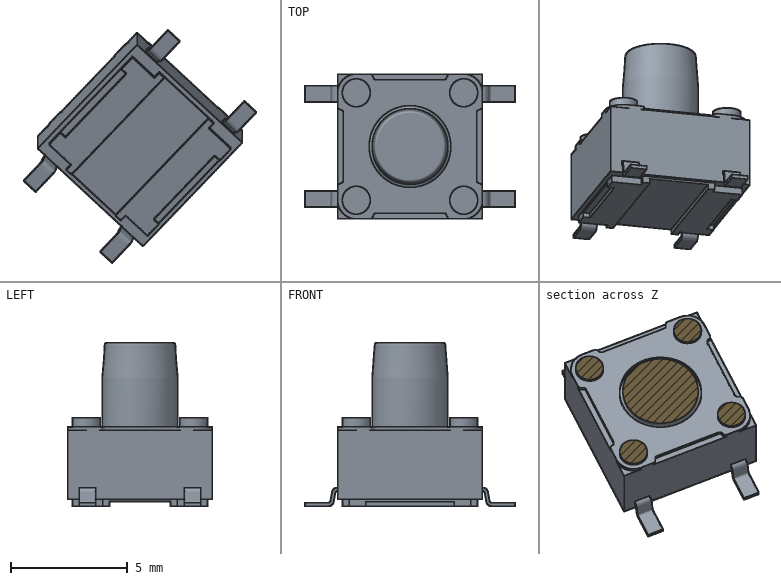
import cadquery as cq
import math


housing_width = 6.2
housing_bottom = 0.3
housing_top = 3.25
plate_top = 3.4
plate_corner_radius = 0.8
button_hole_diameter = 3.5
edge_recess_depth = 0.25
edge_recess_floor_half = 1.43
edge_recess_ramp = 0.3

rivet_diameter = 1.2
rivet_offset = housing_width / 2 - plate_corner_radius
rivet_top = 3.8

button_diameter = 3.25
button_tip_diameter = 3.02
button_shoulder = 5.5
button_top = 7.0
button_edge_round = 0.09
button_base_fillet = 0.1

pad_width = 5.8
pad_step = 0.3
pad_tab_outer = 1.6
pad_channel_half = 1.3
pad_recess_half = 1.9
pad_relief_height = 0.2

lead_span = 9
lead_width = 0.7
lead_thickness = 0.15
lead_offset_y = 2.25
lead_top = 0.8
lead_flat_end = 3.49
lead_inner_bend = 0.08
lead_bend_radius = lead_inner_bend + lead_thickness / 2
lead_slope_angle = math.radians(80)
lead_embed = 0.27


def block(x_size, y_size, z_low, z_high):
    """Box centred on the Z axis between two heights."""
    return cq.Workplane("XY").workplane(offset=z_low).rect(x_size, y_size).extrude(z_high - z_low)


def make_plate():
    """Cover plate with rounded corners, a shallow recess in each side and the button hole."""
    plate = block(housing_width, housing_width, housing_top, plate_top)
    plate = plate.edges("|Z").fillet(plate_corner_radius)

    edge = housing_width / 2
    floor = edge - edge_recess_depth
    half_recess = (
        cq.Workplane("XY").workplane(offset=housing_top)
        .moveTo(0, floor)
        .lineTo(edge_recess_floor_half, floor)
        .tangentArcPoint((edge_recess_ramp / 2, edge_recess_depth / 2))
        .tangentArcPoint((edge_recess_ramp / 2, edge_recess_depth / 2))
        .lineTo(0, edge)
        .close()
        .extrude(plate_top - housing_top)
    )
    recess = half_recess.union(half_recess.mirror("YZ"))
    for quarter_turn in range(4):
        plate = plate.cut(recess.rotate((0, 0, 0), (0, 0, 1), 90 * quarter_turn))

    return plate.faces(">Z").workplane(origin=(0, 0, plate_top)).hole(button_hole_diameter)


def make_rivets():
    """Round rivet heads concentric with the plate corners."""
    return (
        cq.Workplane("XY").workplane(offset=housing_top)
        .rect(2 * rivet_offset, 2 * rivet_offset, forConstruction=True)
        .vertices()
        .circle(rivet_diameter / 2)
        .extrude(rivet_top - housing_top)
    )


def make_button():
    """Cylindrical button with a concave base fillet, a tapered tip and a rounded top edge."""
    radius = button_diameter / 2
    button = (
        cq.Workplane("XZ")
        .moveTo(0, housing_top)
        .lineTo(radius + button_base_fillet, housing_top)
        .radiusArc((radius, housing_top + button_base_fillet), button_base_fillet)
        .lineTo(radius, button_shoulder)
        .lineTo(button_tip_diameter / 2, button_top)
        .lineTo(0, button_top)
        .close()
        .revolve(360, (0, 0, 0), (0, 1, 0))
    )
    return button.faces(">Z").edges().fillet(button_edge_round)


def make_pad():
    """Base pad with side tabs, a channel along X and a recess in the front and back faces."""
    core_width = pad_width - 2 * pad_step
    pad = block(core_width, pad_width, 0, housing_bottom)
    pad = pad.union(block(pad_width, 2 * pad_tab_outer, 0, housing_bottom))
    pad = pad.cut(block(pad_width, 2 * pad_channel_half, 0, pad_relief_height))
    for side in (-1, 1):
        recess = block(2 * pad_recess_half, 2 * pad_step, 0, pad_relief_height)
        pad = pad.cut(recess.translate((0, side * pad_width / 2, 0)))
    return pad


def make_lead():
    """One gull-wing lead on the -X side, swept along its centreline at Y = 0."""
    foot_z = lead_thickness / 2
    shoulder_z = lead_top - lead_thickness / 2
    bend_run = lead_bend_radius * math.sin(lead_slope_angle)
    bend_rise = lead_bend_radius * (1 - math.cos(lead_slope_angle))
    slope_rise = shoulder_z - foot_z - 2 * bend_rise
    slope_run = slope_rise / math.tan(lead_slope_angle)

    centreline = (
        cq.Workplane("XZ")
        .moveTo(-lead_span / 2, foot_z)
        .lineTo(-lead_flat_end, foot_z)
        .tangentArcPoint((bend_run, bend_rise))
        .line(slope_run, slope_rise)
        .tangentArcPoint((bend_run, bend_rise))
        .lineTo(lead_embed - housing_width / 2, shoulder_z)
    )
    return (
        cq.Workplane("YZ", origin=(-lead_span / 2, 0, foot_z))
        .rect(lead_width, lead_thickness)
        .sweep(centreline)
    )


result = block(housing_width, housing_width, housing_bottom, housing_top)
result = result.union(make_plate())
result = result.union(make_rivets())
result = result.union(make_button())
result = result.union(make_pad())

lead = make_lead()
for y_side in (-1, 1):
    left_lead = lead.translate((0, y_side * lead_offset_y, 0))
    result = result.union(left_lead)
    result = result.union(left_lead.mirror("YZ"))